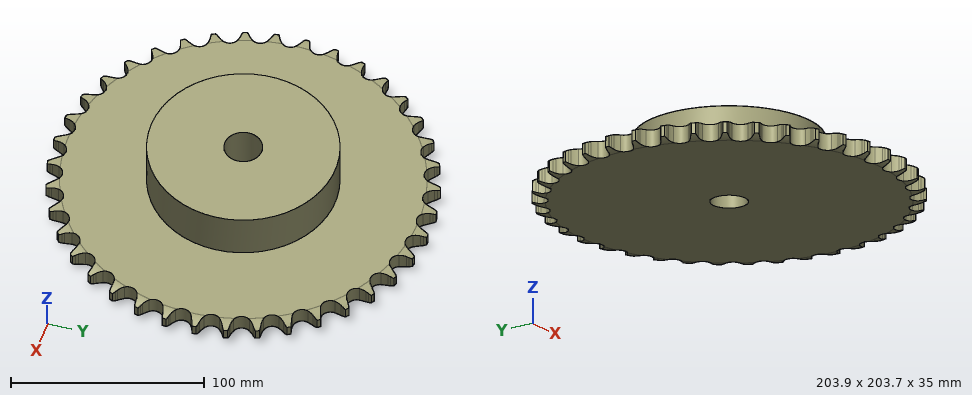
import cadquery as cq
import math

tooth_count = 39
tip_radius = 102.0
plate_thickness = 9.2

pitch_radius = 98.5
seat_radius = 5.1
working_radius = 13.3
straight_length = 1.45
topping_radius = 8.2
seat_half_angle = 55 - 60 / tooth_count
working_angle = 18 - 56 / tooth_count

relief_start_radius = 95.0
relief_arc_radius = 16.0

hub_diameter = 100.0
bore_diameter = 20.0
total_height = 35.0

half_pitch_angle = 180 / tooth_count


def polar(radius, angle, center=(0, 0)):
    """Point at a radius and an angle in degrees, measured from +X."""
    turn = math.radians(angle)
    return (center[0] + radius * math.cos(turn), center[1] + radius * math.sin(turn))


def direction(point, center=(0, 0)):
    """Angle of a point in degrees, seen from a center and measured from +X."""
    return math.degrees(math.atan2(point[1] - center[1], point[0] - center[0]))


def flank_points():
    """Points up the right side of a gap that opens toward +Y, from the seat's end to the tip."""
    seat_center = (0, pitch_radius)
    seat_end_angle = seat_half_angle - 90
    working_end_angle = seat_end_angle + working_angle

    seat_end = polar(seat_radius, seat_end_angle, seat_center)
    working_center = polar(seat_radius - working_radius, seat_end_angle, seat_center)
    working_middle = polar(working_radius, seat_end_angle + working_angle / 2, working_center)
    working_end = polar(working_radius, working_end_angle, working_center)
    straight_end = polar(straight_length, working_end_angle + 90, working_end)

    topping_center = polar(topping_radius, working_end_angle, straight_end)
    center_distance = math.hypot(*topping_center)
    squares = tip_radius**2 + center_distance**2 - topping_radius**2
    tip_offset_angle = math.degrees(math.acos(squares / (2 * tip_radius * center_distance)))
    tip_corner = polar(tip_radius, direction(topping_center) + tip_offset_angle)
    topping_start_angle = working_end_angle + 180
    topping_end_angle = direction(tip_corner, topping_center)
    topping_middle = polar(topping_radius, (topping_start_angle + topping_end_angle) / 2, topping_center)
    return seat_end, working_middle, working_end, straight_end, topping_middle, tip_corner


def turned(point, angle):
    """Point rotated about the sprocket axis."""
    return polar(math.hypot(*point), direction(point) + angle)


def toothed_plate():
    right_side = flank_points()
    left_side = [(-x, y) for x, y in right_side]
    seat_bottom = (0, pitch_radius - seat_radius)
    tip_middle = polar(tip_radius, 90 - half_pitch_angle)
    outline = cq.Workplane("XY").moveTo(*left_side[-1])
    for index in range(tooth_count):
        angle = -2 * half_pitch_angle * index
        seat_start, left_working, left_low, left_high, left_topping = [
            turned(point, angle) for point in left_side[:-1]
        ]
        seat_end, right_working, right_low, right_high, right_topping, tip_start = [
            turned(point, angle) for point in right_side
        ]
        tip_end = turned(left_side[-1], angle - 2 * half_pitch_angle)
        outline = (
            outline.threePointArc(left_topping, left_high)
            .lineTo(*left_low)
            .threePointArc(left_working, seat_start)
            .threePointArc(turned(seat_bottom, angle), seat_end)
            .threePointArc(right_working, right_low)
            .lineTo(*right_high)
            .threePointArc(right_topping, tip_start)
            .threePointArc(turned(tip_middle, angle), tip_end)
        )
    return outline.close().extrude(plate_thickness)


def relief_envelope():
    """Disc with rounded rims that trims both sides of the teeth."""
    sweep = math.degrees(math.asin((tip_radius - relief_start_radius) / relief_arc_radius))
    lower_center = (relief_start_radius, relief_arc_radius)
    upper_center = (relief_start_radius, plate_thickness - relief_arc_radius)
    return (
        cq.Workplane("XZ")
        .lineTo(relief_start_radius, 0)
        .threePointArc(
            polar(relief_arc_radius, sweep / 2 - 90, lower_center),
            polar(relief_arc_radius, sweep - 90, lower_center),
        )
        .lineTo(*polar(relief_arc_radius, 90 - sweep, upper_center))
        .threePointArc(
            polar(relief_arc_radius, 90 - sweep / 2, upper_center),
            (relief_start_radius, plate_thickness),
        )
        .lineTo(0, plate_thickness)
        .close()
        .revolve(360, (0, 0, 0), (0, 1, 0))
    )


hub = cq.Workplane("XY").circle(hub_diameter / 2).extrude(total_height)
bore = cq.Workplane("XY").circle(bore_diameter / 2).extrude(total_height)

result = toothed_plate().intersect(relief_envelope()).union(hub).cut(bore)